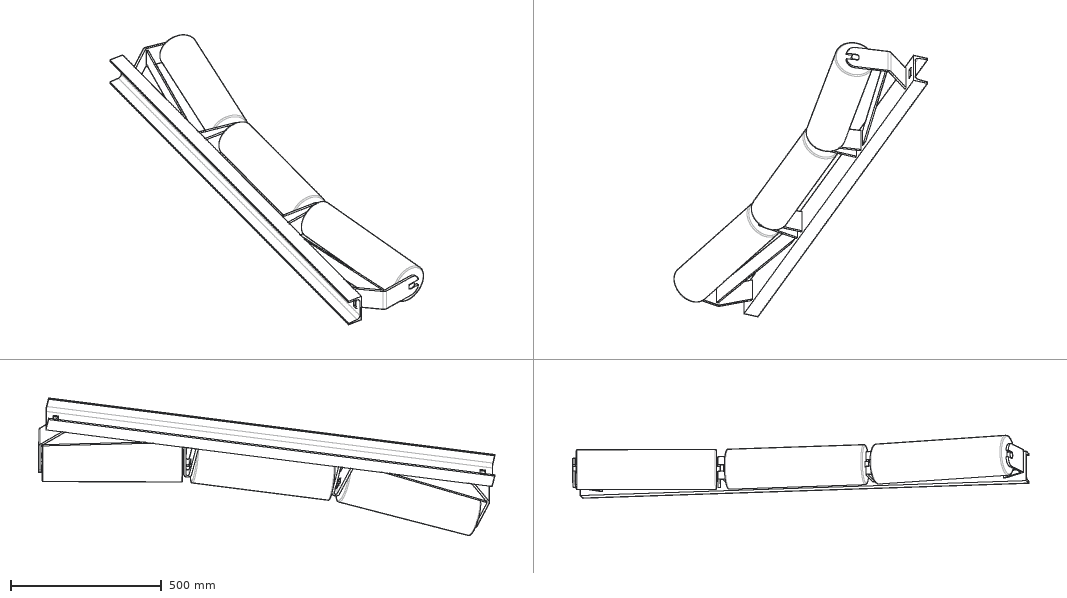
import cadquery as cq
import math

roller_diameter = 133.0
roller_length = 465.0
roller_edge_radius = 4.0
shaft_diameter = 25.0
shaft_flat_width = 18.0
roller_radius = roller_diameter / 2
shaft_radius = shaft_diameter / 2

centre_axis_y = 168.0
wing_x = 498.85
wing_y = 210.62
tilt = math.radians(10.0)

channel_length = 1504.0
channel_height = 100.0
channel_depth = 50.0
web_thickness = 6.0
flange_tip_thickness = 6.0
flange_root_thickness = 9.0
channel_root_radius = 12.0
bolt_slot_x = 719.0
bolt_slot_size = (18.0, 32.0)

plate_thickness = 8.0
bracket_width = 76.0
slot_width = 22.0
roller_gap = 4.0
bracket_reach = 31.0
bracket_corner_radius = 32.0
outer_bend = -117.5
outer_bend_radius = 14.0
outer_foot_x = -686.0
inner_bend_radius = 13.15

stay_thickness = 6.0
stay_width = 60.0
stay_foot_x = -300.0
stay_tilt = math.radians(12.3)

bracket_face = roller_length / 2 + roller_gap
shaft_end = bracket_face + plate_thickness


def wing_point(along, across):
    """Point in the left tilted roller's frame: along its axis and across it, from its centre."""
    return (
        -wing_x + along * math.cos(tilt) + across * math.sin(tilt),
        wing_y - along * math.sin(tilt) + across * math.cos(tilt),
    )


def place_on_wing(body):
    """Move a body built around the origin to the left tilted roller."""
    return body.rotate((0, 0, 0), (0, 0, 1), -math.degrees(tilt)).translate((-wing_x, wing_y, 0))


def place_at_centre(body):
    """Move a body built around the origin to the level roller."""
    return body.translate((0, centre_axis_y, 0))


def mirrored(body):
    return body.mirror("YZ")


def make_roller():
    """Roller along X with a shaft whose ends carry two flats."""
    shell = (
        cq.Workplane("YZ", origin=(-roller_length / 2, 0, 0))
        .circle(roller_radius)
        .extrude(roller_length)
        .faces("<X or >X")
        .edges()
        .fillet(roller_edge_radius)
    )
    shaft = cq.Workplane("YZ", origin=(-shaft_end, 0, 0)).circle(shaft_radius).extrude(2 * shaft_end)
    flats = cq.Workplane("XY").box(2 * shaft_end, shaft_diameter, shaft_flat_width)
    return shell.union(shaft.intersect(flats))


def make_channel():
    """Channel with its web towards the rollers and tapered flanges pointing to -Y."""
    half = channel_height / 2
    web_y = channel_depth - web_thickness
    tip_z = half - flange_tip_thickness
    root_z = half - flange_root_thickness
    channel = (
        cq.Workplane("YZ")
        .polyline([
            (0, half), (channel_depth, half), (channel_depth, -half), (0, -half),
            (0, -tip_z), (web_y, -root_z), (web_y, root_z), (0, tip_z),
        ])
        .close()
        .extrude(channel_length / 2, both=True)
    )
    for side in (-1, 1):
        root = cq.selectors.NearestToPointSelector((0, web_y, side * root_z))
        channel = channel.edges(root).fillet(channel_root_radius)
    slot_x, slot_z = bolt_slot_size
    slots = (
        cq.Workplane("XY")
        .pushPoints([(-bolt_slot_x, web_y), (bolt_slot_x, web_y)])
        .box(slot_x, 4 * web_thickness, slot_z)
    )
    return channel.cut(slots)


def make_shaft_slot(start, end):
    """Cutter along X with the shaft's curve at its bottom, open towards +Y."""
    half_width = slot_width / 2
    arc_start = -math.sqrt(shaft_radius**2 - half_width**2)
    return (
        cq.Workplane("YZ", origin=(start, 0, 0))
        .moveTo(roller_radius, -half_width)
        .lineTo(arc_start, -half_width)
        .threePointArc((-shaft_radius, 0), (arc_start, half_width))
        .lineTo(roller_radius, half_width)
        .close()
        .extrude(end - start)
    )


def make_plate(outline, width):
    """Plate of the given width along Z, centred on the XY plane."""
    return outline.close().extrude(width / 2, both=True)


def make_outer_bracket():
    """Plate that rises outward from the channel and bends up along the roller end."""
    face = -bracket_face
    back = face - plate_thickness
    bend_x, bend_y = wing_point(back, outer_bend)
    foot_angle = math.atan2(bend_y - channel_depth, outer_foot_x - bend_x)
    half_turn = (math.pi / 2 - foot_angle + tilt) / 2
    inside_bend = outer_bend + plate_thickness * math.tan(half_turn)
    inner_foot_x = outer_foot_x + plate_thickness / math.sin(foot_angle)
    bracket = make_plate(
        cq.Workplane("XY").polyline([
            (outer_foot_x, channel_depth),
            (bend_x, bend_y),
            wing_point(back, bracket_reach),
            wing_point(face, bracket_reach),
            wing_point(face, inside_bend),
            (inner_foot_x, channel_depth),
        ]),
        bracket_width,
    )
    bends = (
        ((bend_x, bend_y), outer_bend_radius),
        (wing_point(face, inside_bend), outer_bend_radius - plate_thickness),
    )
    for (x, y), radius in bends:
        bracket = bracket.edges(cq.selectors.NearestToPointSelector((x, y, 0))).fillet(radius)
    for side in (-1, 1):
        corner = wing_point((face + back) / 2, bracket_reach) + (side * bracket_width / 2,)
        bracket = bracket.edges(cq.selectors.NearestToPointSelector(corner)).fillet(bracket_corner_radius)
    return bracket.cut(place_on_wing(make_shaft_slot(-roller_length, face)))


def make_inner_bracket():
    """Plate folded over between two rollers: one leg upright, one square to the tilted roller."""
    upright = -bracket_face
    fold_x = upright - inner_bend_radius
    fold_along = bracket_face + inner_bend_radius
    fold_y = wing_y + ((fold_x + wing_x) * math.cos(tilt) - fold_along) / math.sin(tilt)

    def fold_outline(radius):
        """Inverted U whose legs are tangent to an arc about the fold centre."""
        lean = (fold_x - radius * math.cos(tilt), fold_y + radius * math.sin(tilt))
        lean_foot = lean[0] - (lean[1] - channel_depth) * math.tan(tilt)
        top = math.pi / 2 - tilt / 2
        crown = (fold_x + radius * math.cos(top), fold_y + radius * math.sin(top))
        return (
            cq.Workplane("XY")
            .moveTo(fold_x + radius, channel_depth)
            .lineTo(fold_x + radius, fold_y)
            .threePointArc(crown, lean)
            .lineTo(lean_foot, channel_depth)
        )

    bracket = make_plate(fold_outline(inner_bend_radius), bracket_width)
    bracket = bracket.cut(make_plate(fold_outline(inner_bend_radius - plate_thickness), bracket_width))
    bracket = bracket.cut(place_at_centre(make_shaft_slot(fold_x, upright)))
    return bracket.cut(place_on_wing(make_shaft_slot(bracket_face, fold_along)))


def make_stay(outer_bracket):
    """Sloping plate from the outer bracket's bend down to the channel."""
    slope = math.tan(stay_tilt)
    lean = math.tan(tilt)
    foot_length = stay_thickness / math.sin(stay_tilt)
    face_x, face_y = wing_point(-bracket_face, 0)

    def meet_bracket(foot_x):
        """Where a line rising outward from the foot reaches the bracket's inner face."""
        y = (channel_depth + slope * (foot_x - face_x + face_y * lean)) / (1 + slope * lean)
        return (face_x + (y - face_y) * lean, y)

    stay = make_plate(
        cq.Workplane("XY").polyline([
            (stay_foot_x, channel_depth),
            meet_bracket(stay_foot_x),
            meet_bracket(stay_foot_x - foot_length),
            (stay_foot_x - foot_length, channel_depth),
        ]),
        stay_width,
    )
    return stay.cut(outer_bracket)


left_outer_bracket = make_outer_bracket()
left_bodies = [
    place_on_wing(make_roller()),
    left_outer_bracket,
    make_inner_bracket(),
    make_stay(left_outer_bracket),
]

bodies = [make_channel(), place_at_centre(make_roller())]
for left_body in left_bodies:
    bodies += [left_body, mirrored(left_body)]

result = cq.Compound.makeCompound([body.val() for body in bodies])